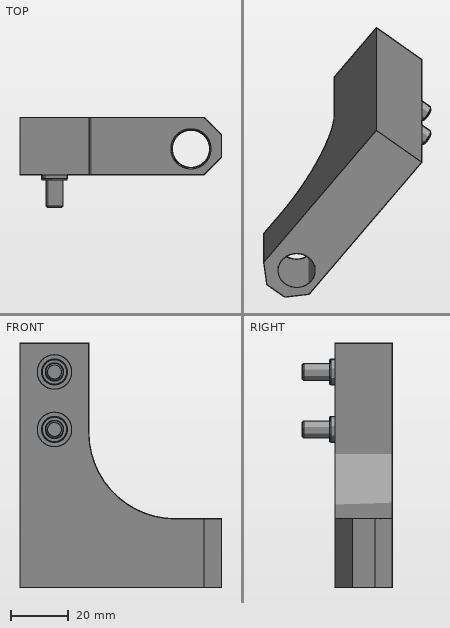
import cadquery as cq

height = 85.0
length = 70.0
thickness = 20.0
arm_width = 24.0
inner_radius = 30.0
nose_chamfer = 6.0

bore_diameter = 12.9
bore_chamfer = 0.5
bore_x = 59.4
bore_y = 9.0

fastener_x = arm_width / 2
fastener_pitch = 20.0
top_fastener_z = height - 10.0
fastener_heights = [top_fastener_z, top_fastener_z - fastener_pitch]

seat_diameter = 12.0
seat_depth = 2.0
spigot_diameter = 9.0
spigot_length = 1.9
spigot_chamfer_length = 0.5
spigot_chamfer_width = 0.25
sleeve_bore_diameter = 6.4

pin_diameter = 6.0
pin_projection = 11.4
pin_chamfer = 0.6
pin_hole_depth = thickness / 2


def front_cylinder(diameter, z, start, end):
    """Cylinder along the fastener axis, from distance start to end ahead of the front face."""
    return (
        cq.Workplane("XZ", origin=(fastener_x, -start, z))
        .circle(diameter / 2)
        .extrude(end - start)
    )


def make_bracket_blank():
    return (
        cq.Workplane("XZ")
        .moveTo(0, 0)
        .lineTo(length, 0)
        .lineTo(length, arm_width)
        .lineTo(arm_width + inner_radius, arm_width)
        .radiusArc((arm_width, arm_width + inner_radius), inner_radius)
        .lineTo(arm_width, height)
        .lineTo(0, height)
        .close()
        .extrude(-thickness)
        .edges("|Z and >X")
        .chamfer(nose_chamfer)
    )


def make_foot_bore():
    """Cutter for the vertical bore and the chamfer at its upper mouth."""
    radius = bore_diameter / 2
    mouth_radius = radius + bore_chamfer
    profile = (
        cq.Workplane("XZ", origin=(bore_x, bore_y, 0))
        .moveTo(0, 0)
        .lineTo(radius, 0)
        .lineTo(radius, arm_width - bore_chamfer)
        .lineTo(mouth_radius, arm_width)
        .lineTo(mouth_radius, arm_width + bore_chamfer)
        .lineTo(0, arm_width + bore_chamfer)
        .close()
    )
    return profile.revolve(360, (0, 0, 0), (0, 1, 0))


def make_bracket():
    bracket = make_bracket_blank().cut(make_foot_bore())
    for z in fastener_heights:
        bracket = bracket.cut(front_cylinder(seat_diameter, z, -seat_depth, 0))
        bracket = bracket.cut(front_cylinder(pin_diameter, z, -pin_hole_depth, 0))
    return bracket


def make_sleeve(z):
    seat = front_cylinder(seat_diameter, z, -seat_depth, 0)
    spigot = (
        front_cylinder(spigot_diameter, z, 0, spigot_length)
        .faces("<Y")
        .chamfer(spigot_chamfer_length, spigot_chamfer_width)
    )
    bore = front_cylinder(sleeve_bore_diameter, z, -seat_depth, spigot_length)
    return seat.union(spigot).cut(bore)


def make_pin(z):
    pin = front_cylinder(pin_diameter, z, -pin_hole_depth, pin_projection)
    return pin.faces("<Y").chamfer(pin_chamfer)


bracket = make_bracket()
sleeves = [make_sleeve(z).val() for z in fastener_heights]
pins = [make_pin(z).val() for z in fastener_heights]

result = cq.Compound.makeCompound([bracket.val(), *sleeves, *pins])